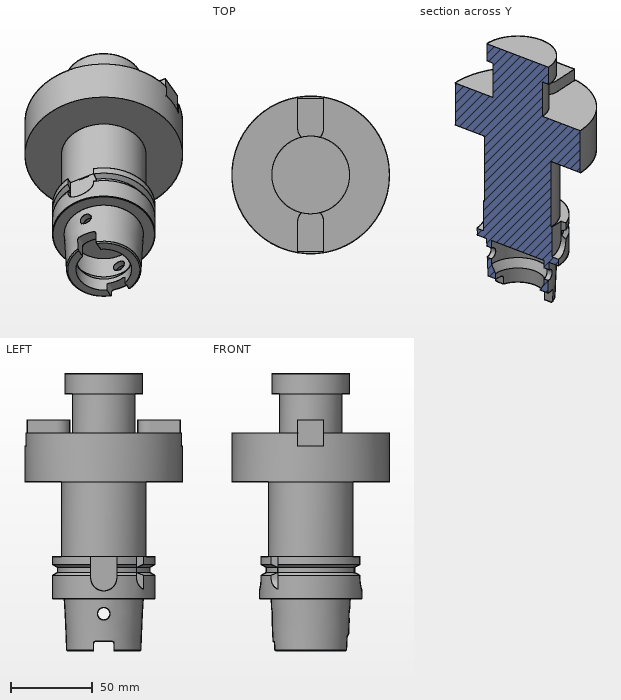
import cadquery as cq
import math


taper_length = 32.0
taper_top_diameter = 48.6
taper_bottom_diameter = 45.8
taper_chamfer = 0.8

keyway_width = 12.5
shallow_keyway_height = 6.0
deep_keyway_height = 10.0
keyway_corner_radius = 1.5

cross_hole_diameter = 7.5
cross_hole_depth_below_face = 9.0

entry_bore_diameter = 34.0
entry_bore_length = 10.0
chamber_diameter = 40.4
shoulder_angle = 30.0

flange_diameter = 63.0
flange_height = 26.0
flange_chamfer = 0.4

groove_center_height = 17.85
groove_floor_width = 3.2
groove_floor_diameter = 57.0
groove_flank_angle = 30.0

slot_floor_distance = 26.5
narrow_slot_width = 16.0
wide_slot_width = 18.0
slot_bottom_height = 5.0

notch_offset = 20.1
notch_radius = 8.0
notch_arc_center_height = slot_bottom_height + notch_radius

total_height = 170.12
neck_diameter = 52.0
seat_diameter = 96.77
seat_thickness = 30.0
pilot_diameter = 38.4
head_diameter = 47.7
head_thickness = 12.4
seat_to_top = 36.3

top_height = total_height - taper_length
seat_top_height = top_height - seat_to_top
seat_bottom_height = seat_top_height - seat_thickness
head_bottom_height = top_height - head_thickness

key_width = 16.0
key_height = 16.0
key_rise = key_height / 2
key_inner_distance = 20.7
key_outer_distance = 46.9


def make_turned_body():
    """Revolve the half profile of everything that is round about Z."""
    taper_top_radius = taper_top_diameter / 2
    taper_bottom_radius = taper_bottom_diameter / 2
    flange_radius = flange_diameter / 2
    groove_floor_radius = groove_floor_diameter / 2
    flank_height = (flange_radius - groove_floor_radius) * math.tan(math.radians(groove_flank_angle))
    floor_bottom = groove_center_height - groove_floor_width / 2
    floor_top = groove_center_height + groove_floor_width / 2
    profile = [
        (0, -taper_length),
        (taper_bottom_radius - taper_chamfer, -taper_length),
        (taper_bottom_radius, -taper_length + taper_chamfer),
        (taper_top_radius, 0),
        (flange_radius - flange_chamfer, 0),
        (flange_radius, flange_chamfer),
        (flange_radius, floor_bottom - flank_height),
        (groove_floor_radius, floor_bottom),
        (groove_floor_radius, floor_top),
        (flange_radius, floor_top + flank_height),
        (flange_radius, flange_height),
        (neck_diameter / 2, flange_height),
        (neck_diameter / 2, seat_bottom_height),
        (seat_diameter / 2, seat_bottom_height),
        (seat_diameter / 2, seat_top_height),
        (pilot_diameter / 2, seat_top_height),
        (pilot_diameter / 2, head_bottom_height),
        (head_diameter / 2, head_bottom_height),
        (head_diameter / 2, top_height),
        (0, top_height),
    ]
    half_section = cq.Workplane("XZ").polyline(profile).close()
    return half_section.revolve(360, (0, 0, 0), (0, 1, 0))


def make_round_bottom_slot(center_y, width, arc_center_height, floor_distance):
    """Cutter for a slot in the +X side of the flange, open at the flange top."""
    radius = width / 2
    return (
        cq.Workplane("YZ", origin=(floor_distance, 0, 0))
        .moveTo(center_y - radius, flange_height)
        .lineTo(center_y - radius, arc_center_height)
        .threePointArc((center_y, arc_center_height - radius), (center_y + radius, arc_center_height))
        .lineTo(center_y + radius, flange_height)
        .close()
        .extrude(flange_diameter / 2)
    )


def cut_flange_slots(body):
    """Cut the narrow slot at -X, the wide slot at +X and the corner notch at -X, -Y."""
    narrow_center_height = slot_bottom_height + narrow_slot_width / 2
    wide_center_height = slot_bottom_height + wide_slot_width / 2
    wide_slot = make_round_bottom_slot(0, wide_slot_width, wide_center_height, slot_floor_distance)
    narrow_slot = make_round_bottom_slot(0, narrow_slot_width, narrow_center_height, slot_floor_distance)
    notch_center_y = -(notch_offset + notch_radius)
    notch = make_round_bottom_slot(notch_center_y, 2 * notch_radius, notch_arc_center_height, notch_offset)
    return body.cut(wide_slot).cut(narrow_slot.mirror("YZ")).cut(notch.mirror("YZ"))


def cut_shank_hollow(body):
    """Turn out the shank from its open end up to the contact face."""
    entry_radius = entry_bore_diameter / 2
    chamber_radius = chamber_diameter / 2
    shoulder_start = -taper_length + entry_bore_length
    shoulder_end = shoulder_start + (chamber_radius - entry_radius) / math.tan(math.radians(shoulder_angle))
    profile = [
        (0, -taper_length),
        (entry_radius, -taper_length),
        (entry_radius, shoulder_start),
        (chamber_radius, shoulder_end),
        (chamber_radius, 0),
        (0, 0),
    ]
    hollow = cq.Workplane("XZ").polyline(profile).close().revolve(360, (0, 0, 0), (0, 1, 0))
    return body.cut(hollow)


def make_shank_keyway(height):
    """Cutter for a drive keyway in the +X wall of the shank, open at the shank end."""
    return (
        cq.Workplane("XY", origin=(0, 0, -taper_length))
        .box(taper_top_diameter / 2, keyway_width, height, centered=(False, True, False))
        .edges("|X and >Z")
        .fillet(keyway_corner_radius)
    )


def cut_shank_openings(body):
    """Cut the shallow keyway at -X, the deep keyway at +X and the cross hole along X."""
    shallow_keyway = make_shank_keyway(shallow_keyway_height).mirror("YZ")
    deep_keyway = make_shank_keyway(deep_keyway_height)
    cross_hole = (
        cq.Workplane("YZ")
        .center(0, -cross_hole_depth_below_face)
        .circle(cross_hole_diameter / 2)
        .extrude(taper_top_diameter / 2, both=True)
    )
    return body.cut(shallow_keyway).cut(deep_keyway).cut(cross_hole)


def make_key_prism(outer_distance, height):
    """Prism standing on the key seat floor, round at its inner end and flat at outer_distance on +Y."""
    radius = key_width / 2
    return (
        cq.Workplane("XY", origin=(0, 0, seat_top_height + key_rise - key_height))
        .moveTo(-radius, outer_distance)
        .lineTo(-radius, key_inner_distance + radius)
        .threePointArc((0, key_inner_distance), (radius, key_inner_distance + radius))
        .lineTo(radius, outer_distance)
        .close()
        .extrude(height)
    )


def add_driving_keys(body):
    """Open a key seat through the rim at +Y and -Y and set a key in each."""
    key_seat = make_key_prism(seat_diameter / 2, key_height - key_rise)
    key = make_key_prism(key_outer_distance, key_height)
    body = body.cut(key_seat).cut(key_seat.mirror("XZ"))
    return body.union(key).union(key.mirror("XZ"))


result = make_turned_body()
result = cut_flange_slots(result)
result = cut_shank_hollow(result)
result = cut_shank_openings(result)
result = add_driving_keys(result)